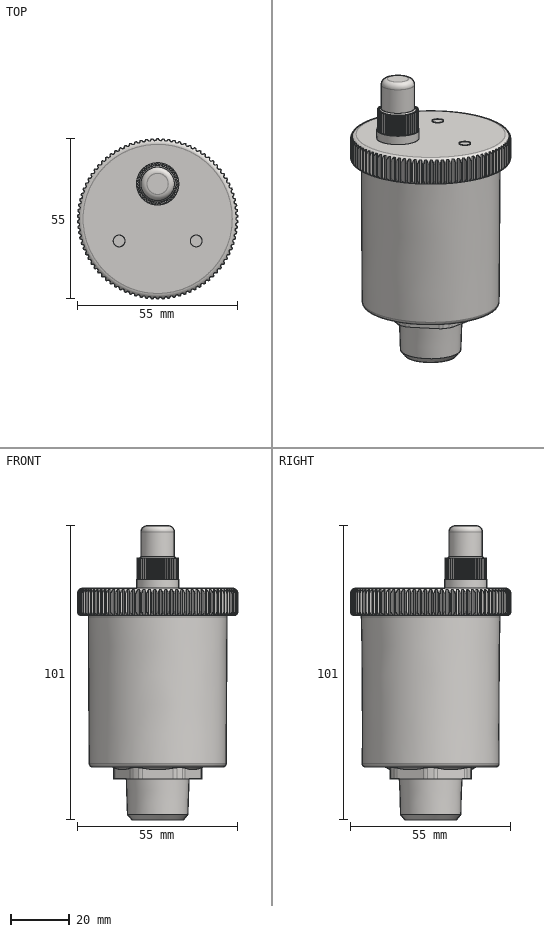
import cadquery as cq
import math

thread_chamfer_top = 1.9
hex_bottom = 14.1
hex_cone_bottom = 17.3
body_bottom = 18.2
body_collar_bottom = 69.7
cap_bottom = 70.2
cap_top = 79.6
boss_top = 82.6
valve_knurl_top = 89.9
pin_top = 101.0

thread_end_radius = 8.8
thread_tip_radius = 10.4
thread_root_radius = 10.8

hex_across_flats = 27.9
hex_corner_radius = 15.2
hex_edge_fillet = 3.0
hex_cone_radius = 15.6

body_bottom_radius = 23.5
body_top_radius = 23.8
body_fillet = 1.2

cap_diameter = 55.0
cap_radius = cap_diameter / 2
cap_top_fillet = 1.9
cap_bottom_fillet = 1.3
cap_tooth_count = 90
cap_groove_depth = 0.6

mark_radius = 2.0
mark_depth = 0.2
mark_x = 13.2
mark_y = -7.6

valve_y = 12.0
boss_radius = 7.3
valve_knurl_radius = 7.1
valve_tooth_count = 44
valve_groove_depth = 0.5
pin_radius = 5.8
pin_fillet = 2.1
pin_base_flare = 0.5

crest_share = 0.25
floor_share = 0.3
front_angle = -90.0


def cone(bottom_radius, top_radius, bottom, top):
    """Truncated cone about Z between two heights."""
    profile = [(0, bottom), (bottom_radius, bottom), (top_radius, top), (0, top)]
    return cq.Workplane("XZ").polyline(profile).close().revolve(360, (0, 0, 0), (0, 1, 0))


def cylinder(radius, bottom, top):
    return cq.Workplane("XY").workplane(offset=bottom).circle(radius).extrude(top - bottom)


def knurl(radius, groove_depth, tooth_count, bottom, top):
    """Prism with flat-topped teeth and flat-bottomed grooves; one tooth points to the front."""
    root_radius = radius - groove_depth
    pitch = 360 / tooth_count
    half_crest = crest_share * pitch / 2
    half_foot = (1 - floor_share) * pitch / 2
    tooth_profile = [
        (-half_foot, root_radius),
        (-half_crest, radius),
        (half_crest, radius),
        (half_foot, root_radius),
    ]
    points = []
    for tooth in range(tooth_count):
        for offset, reach in tooth_profile:
            angle = math.radians(front_angle + tooth * pitch + offset)
            points.append((reach * math.cos(angle), reach * math.sin(angle)))
    return cq.Workplane("XY").workplane(offset=bottom).polyline(points).close().extrude(top - bottom)


def make_thread():
    end = cone(thread_end_radius, thread_tip_radius, 0, thread_chamfer_top)
    shank = cone(thread_tip_radius, thread_root_radius, thread_chamfer_top, hex_bottom)
    return end.union(shank)


def make_hex():
    across_corners = hex_across_flats / math.cos(math.pi / 6)
    flats = (
        cq.Workplane("XY")
        .workplane(offset=hex_bottom)
        .polygon(6, across_corners)
        .extrude(body_bottom - hex_bottom)
    )
    rounded = flats.intersect(cylinder(hex_corner_radius, hex_bottom, body_bottom))
    rounded = rounded.edges("|Z").fillet(hex_edge_fillet)
    flare = cone(hex_across_flats / 2, hex_cone_radius, hex_cone_bottom, body_bottom)
    return rounded.union(flare)


def make_body():
    shell = cone(body_bottom_radius, body_top_radius, body_bottom, body_collar_bottom)
    shell = shell.faces("<Z").edges().fillet(body_fillet)
    return shell.union(cylinder(body_top_radius, body_collar_bottom, cap_bottom))


def make_cap():
    blank = cylinder(cap_radius, cap_bottom, cap_top)
    blank = blank.faces(">Z").edges().fillet(cap_top_fillet)
    blank = blank.faces("<Z").edges().fillet(cap_bottom_fillet)
    cap = blank.intersect(knurl(cap_radius, cap_groove_depth, cap_tooth_count, cap_bottom, cap_top))
    for side in (-1, 1):
        mark = cylinder(mark_radius, cap_top - mark_depth, cap_top)
        cap = cap.cut(mark.translate((side * mark_x, mark_y, 0)))
    return cap


def make_valve():
    boss = cylinder(boss_radius, cap_top, boss_top)
    grip = knurl(valve_knurl_radius, valve_groove_depth, valve_tooth_count, boss_top, valve_knurl_top)
    flare = cone(pin_radius + pin_base_flare, pin_radius, valve_knurl_top, valve_knurl_top + pin_base_flare)
    pin = cylinder(pin_radius, valve_knurl_top, pin_top).faces(">Z").edges().fillet(pin_fillet)
    return boss.union(grip).union(flare).union(pin).translate((0, valve_y, 0))


result = make_thread().union(make_hex()).union(make_body()).union(make_cap()).union(make_valve())